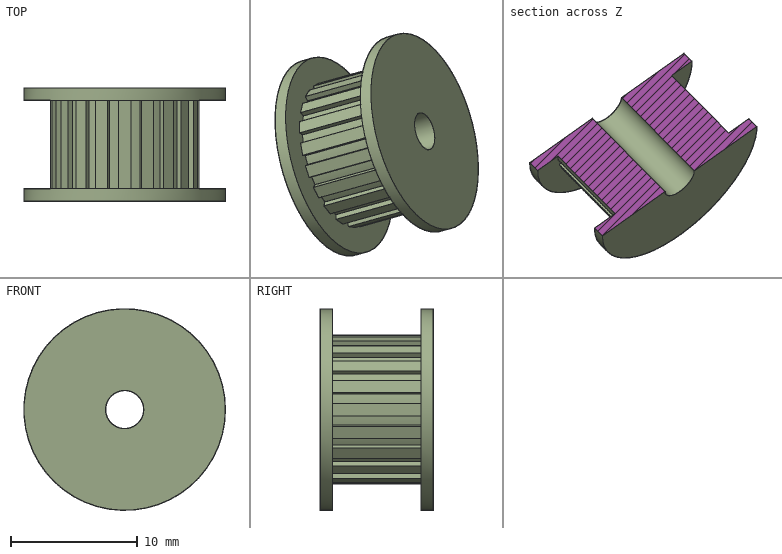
import cadquery as cq

flange_diameter = 16.0
flange_thickness = 1.0
overall_width = 9.0
bore_diameter = 3.0

tooth_count = 20
tooth_width = 1.0
tooth_tip_height = 5.9
tooth_root_radius = 5.5

tooth_pitch_angle = 360.0 / tooth_count
belt_width = overall_width - 2 * flange_thickness


def cylinder(radius, length, start_y):
    """Solid cylinder along +Y starting at start_y."""
    return cq.Workplane("XZ", origin=(0, start_y, 0)).circle(radius).extrude(-length)


def tooth(angle):
    """Parallel-sided bar with a flat tip, turned to the given angle about the Y axis."""
    bar = cq.Workplane("XY").box(tooth_width, belt_width, tooth_tip_height, centered=(True, True, False))
    return bar.rotate((0, 0, 0), (0, 1, 0), angle)


def toothed_hub():
    """Round root drum with evenly spaced teeth standing on it."""
    hub = cylinder(tooth_root_radius, belt_width, -belt_width / 2)
    for index in range(tooth_count):
        hub = hub.union(tooth(index * tooth_pitch_angle))
    return hub


def flange(start_y):
    return cylinder(flange_diameter / 2, flange_thickness, start_y)


def bore():
    return cylinder(bore_diameter / 2, overall_width, -overall_width / 2)


front_flange = flange(-overall_width / 2)
back_flange = flange(belt_width / 2)

result = toothed_hub().union(front_flange).union(back_flange).cut(bore())